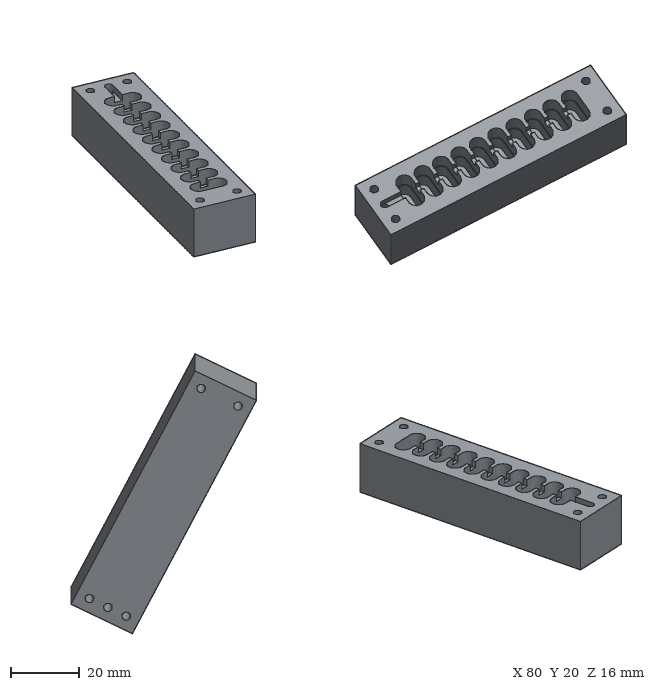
import cadquery as cq

length = 80.0
width = 20.0
height = 16.0

hole_diameter = 2.5
hole_inset = 4.0

pocket_count = 10
row_span = 56.2
row_centre_x = 40.9
row_centre_y = 0.25
well_width = 4.5
well_length = 11.0
ledge_width = 0.25
ledge_depth = 5.0
pocket_depth = 10.0

mouth_width = well_width + 2 * ledge_width
mouth_length = well_length + 2 * ledge_width
pocket_pitch = row_span / (pocket_count - 1)
first_pocket_x = row_centre_x - row_span / 2
last_pocket_x = row_centre_x + row_span / 2

channel_width = hole_diameter
channel_depth = 2.0


def block():
    """Plain block starting at X = 0, resting on Z = 0 and centred across Y."""
    return cq.Workplane("XY").box(length, width, height, centered=(False, True, False))


def through_holes():
    """Four corner holes plus the feed hole at the start of the channel."""
    corner_y = width / 2 - hole_inset
    points = [(x, y) for x in (hole_inset, length - hole_inset) for y in (-corner_y, corner_y)]
    points.append((hole_inset, 0))
    return cq.Workplane("XY").pushPoints(points).circle(hole_diameter / 2).extrude(height)


def slot_row(slot_length, slot_width, depth):
    """Row of round-ended slots cut down from the top face, each long across the block."""
    centres = [(first_pocket_x + i * pocket_pitch, row_centre_y) for i in range(pocket_count)]
    return (
        cq.Workplane("XY", origin=(0, 0, height))
        .pushPoints(centres)
        .slot2D(slot_length, slot_width, angle=90)
        .extrude(-depth)
    )


def channel():
    """Straight channel linking the feed hole and every pocket."""
    return cq.Workplane("XY", origin=(hole_inset, 0, height - channel_depth)).box(
        last_pocket_x - hole_inset, channel_width, channel_depth, centered=(False, True, False)
    )


result = (
    block()
    .cut(through_holes())
    .cut(slot_row(mouth_length, mouth_width, ledge_depth))
    .cut(slot_row(well_length, well_width, pocket_depth))
    .cut(channel())
)